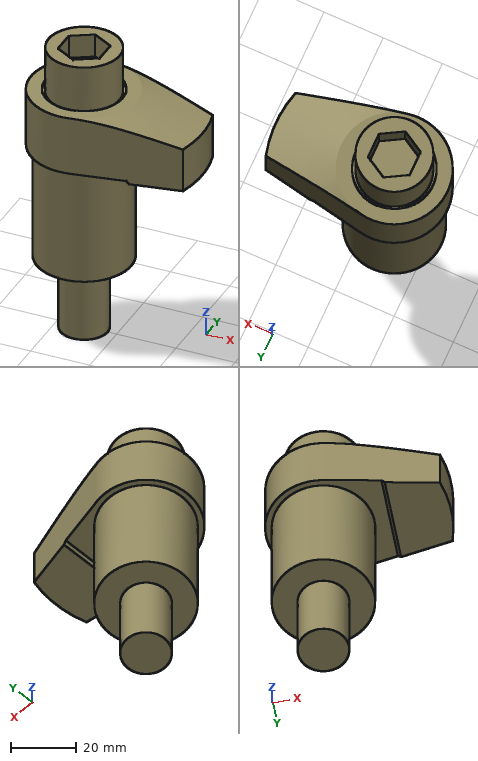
import cadquery as cq
import math

total_height = 101.0
screw_radius = 8.0
screw_head_radius = 12.0
screw_head_height = 16.0
hex_across_flats = 14.0
hex_depth = 8.0

sleeve_radius = 16.0
sleeve_bottom = 26.0
clamp_bottom = 66.0
clamp_top = 86.0
clamp_radius = 18.0
recess_radius = 13.0

arm_reach = 40.0
tip_half_width = 11.1
tip_top = 80.0
foot_drop = 1.0
foot_start = 20.7

seat_height = total_height - screw_head_height
tip_corner_x = math.sqrt(arm_reach**2 - tip_half_width**2)
foot_bottom = clamp_bottom - foot_drop


def cylinder(radius, bottom, top):
    return cq.Workplane("XY").workplane(offset=bottom).circle(radius).extrude(top - bottom)


def make_screw():
    shank = cylinder(screw_radius, 0, seat_height)
    head = cylinder(screw_head_radius, seat_height, total_height)
    hex_across_corners = hex_across_flats / math.cos(math.pi / 6)
    socket = (
        cq.Workplane("XY")
        .workplane(offset=total_height - hex_depth)
        .transformed(rotate=(0, 0, 90))
        .polygon(6, hex_across_corners)
        .extrude(hex_depth)
    )
    return shank.union(head).cut(socket)


def make_arm_plan():
    """Prism whose sides run from tangency on the round head to the rounded tip."""
    corner_angle = math.atan2(tip_half_width, tip_corner_x)
    tangent_angle = corner_angle + math.acos(clamp_radius / arm_reach)
    tangent_x = clamp_radius * math.cos(tangent_angle)
    tangent_y = clamp_radius * math.sin(tangent_angle)
    return (
        cq.Workplane("XY")
        .workplane(offset=foot_bottom)
        .moveTo(tangent_x, -tangent_y)
        .lineTo(tip_corner_x, -tip_half_width)
        .threePointArc((arm_reach, 0), (tip_corner_x, tip_half_width))
        .lineTo(tangent_x, tangent_y)
        .threePointArc((-clamp_radius, 0), (tangent_x, -tangent_y))
        .close()
        .extrude(clamp_top - foot_bottom)
    )


def make_conical_envelope():
    """Solid of revolution giving the flat round top and the conical slope of the arm."""
    return (
        cq.Workplane("XZ")
        .moveTo(0, foot_bottom)
        .lineTo(arm_reach, foot_bottom)
        .lineTo(arm_reach, tip_top)
        .lineTo(clamp_radius, clamp_top)
        .lineTo(0, clamp_top)
        .close()
        .revolve(360, (0, 0), (0, 1))
    )


def make_foot_relief():
    """Material removed below the head, leaving a foot with a 45 degree start."""
    return (
        cq.Workplane("XZ")
        .moveTo(-clamp_radius, foot_bottom)
        .lineTo(foot_start + foot_drop, foot_bottom)
        .lineTo(foot_start, clamp_bottom)
        .lineTo(-clamp_radius, clamp_bottom)
        .close()
        .extrude(clamp_radius, both=True)
    )


def make_clamp():
    head = make_arm_plan().intersect(make_conical_envelope()).cut(make_foot_relief())
    sleeve = cylinder(sleeve_radius, sleeve_bottom, clamp_bottom)
    bore = cylinder(screw_radius, sleeve_bottom, seat_height)
    head_recess = cylinder(recess_radius, seat_height, clamp_top)
    return head.union(sleeve).cut(bore).cut(head_recess)


screw = make_screw()
clamp = make_clamp()
result = cq.Compound.makeCompound([screw.solids().val(), clamp.solids().val()])